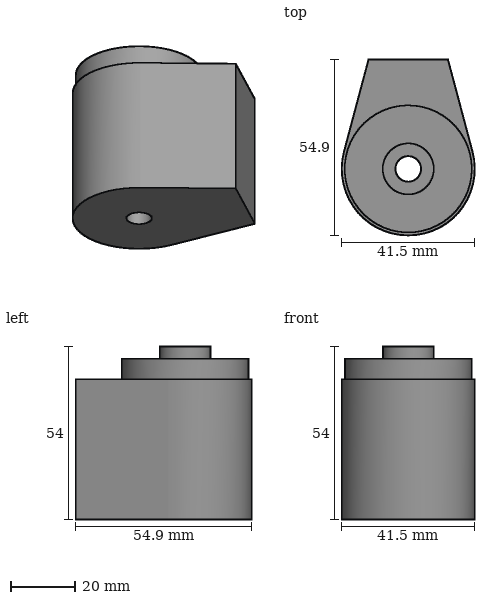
import cadquery as cq
import math

depth = 54.85
body_diameter = 41.5
body_height = 43.75
back_width = 24.8

disc_diameter = 39.6
disc_height = 6.35
hub_diameter = 15.9
hub_height = 3.85

bore_diameter = 7.9

body_radius = body_diameter / 2
back_y = depth - body_radius
overall_height = body_height + disc_height + hub_height


def tangent_point(corner_x, corner_y, radius):
    """Point on the right of a circle at the origin where the line from the corner is tangent."""
    corner_distance = math.hypot(corner_x, corner_y)
    angle = math.atan2(corner_y, corner_x) - math.acos(radius / corner_distance)
    return radius * math.cos(angle), radius * math.sin(angle)


def make_body():
    tangent_x, tangent_y = tangent_point(back_width / 2, back_y, body_radius)
    return (
        cq.Workplane("XY")
        .moveTo(-back_width / 2, back_y)
        .lineTo(back_width / 2, back_y)
        .lineTo(tangent_x, tangent_y)
        .threePointArc((0, -body_radius), (-tangent_x, tangent_y))
        .close()
        .extrude(body_height)
    )


def make_top():
    return (
        cq.Workplane("XY", origin=(0, 0, body_height))
        .circle(disc_diameter / 2)
        .extrude(disc_height)
        .faces(">Z")
        .workplane()
        .circle(hub_diameter / 2)
        .extrude(hub_height)
    )


def drill_bore(part):
    bore = cq.Workplane("XY").circle(bore_diameter / 2).extrude(overall_height)
    return part.cut(bore)


result = drill_bore(make_body().union(make_top()))